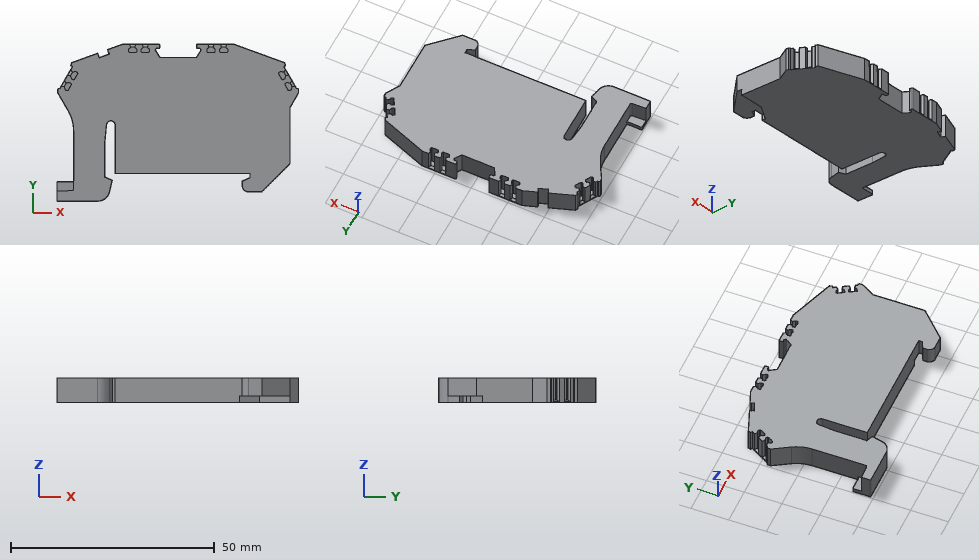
import cadquery as cq
import math


thickness = 6.1
top_y = 38.5
center_x = 29.75
slope_angle = 20.0
flank_angle = 60.0

head_half_width = 29.55
head_side_low_y = 26.6
head_side_high_y = 27.4
low_lip_y = 27.7
low_lip_inset = 0.3
flank_low = (28.68, 28.24)
flank_length = 4.75
high_lip_root = (25.9, 33.0)
high_lip_tip = (26.35, 33.25)
shoulder_low_half = 26.1
shoulder_top_half = 13.7

notch_mouth_half = 4.5
notch_lip_height = 1.0
notch_lip_radius = 0.2
notch_lip_underside_half = 5.3
notch_waist_half = 5.6
notch_waist_depth = 1.4
notch_floor_half = 4.45
notch_depth = 3.25

shoulder_notch_start = 3.8
shoulder_notch_end = 6.4
shoulder_notch_depth = 1.15
shoulder_notch_bump = 0.12
shoulder_notch_bump_depth = 0.4

right_x = 57.2
right_low_y = 9.2
base_y = 6.8
hook_bottom_y = 2.3
hook_bevel_x = 50.25
hook_tip_x = 45.45
hook_tip_y = 4.95
hook_root_x = 47.35
hook_root_y = 5.8
hook_radius = 1.5

recess_depth = 1.6
recess_start_x = 44.75
recess_side_length = 1.0
recess_corner_x = 49.75
recess_wall_angle = 30.0

slot_right_x = 14.3
slot_radius = 1.05
slot_center_y = 18.65
leg_left_x = 4.1
leg_right_x = 11.8
leg_taper_y = 14.5
leg_bend_low_y = 17.2
leg_bend_radius = 10.0
latch_root_y = 5.95
latch_tip = (13.6, 5.15)
latch_lean = 13.0
latch_radius = 3.0

foot_edge_y = 2.45
foot_root_y = 2.65
foot_root_radius = 0.4
foot_corner_radius = 0.2
tab_top_y = 4.8
tab_thickness = 1.1
tab_corner_radius = 0.25

pocket_count = 2
pocket_pitch = 3.1
pocket_first_offset = 8.05
flank_pocket_start = 0.75
pocket_mouth_half = 0.8
pocket_waist_half = 0.5
pocket_body_half = 1.03
pocket_waist_depth = 0.7
pocket_body_depth = 1.3
pocket_depth = 2.0
pocket_corner = 0.2
pocket_floor_z = 0.6
pocket_mouth_floor_z = 0.25


def polar(start, angle, length):
    """Point at a given length from start, in a direction in degrees."""
    turn = math.radians(angle)
    return (start[0] + length * math.cos(turn), start[1] + length * math.sin(turn))


def flank_point(length):
    """Point on the marker flank, measured up from its low end."""
    return polar(flank_low, 180 - flank_angle, length)


def half_head():
    """Outline of one half of the head, from the head side up to the central notch floor."""
    shoulder_run = shoulder_low_half - shoulder_top_half
    shoulder_low_y = top_y - shoulder_run * math.tan(math.radians(slope_angle))
    lip_underside_y = top_y - notch_lip_height
    return [
        (head_half_width, head_side_low_y),
        (head_half_width, head_side_high_y),
        (head_half_width - low_lip_inset, low_lip_y),
        (flank_low[0] + low_lip_inset, low_lip_y),
        flank_low,
        flank_point(flank_length),
        high_lip_root,
        high_lip_tip,
        (shoulder_low_half, shoulder_low_y),
        (shoulder_top_half, top_y),
        (notch_mouth_half, top_y),
        (notch_mouth_half, lip_underside_y),
        (notch_lip_underside_half, lip_underside_y),
        (notch_waist_half, top_y - notch_waist_depth),
        (notch_floor_half, top_y - notch_depth),
    ]


def body():
    """Full-thickness plate: foot, latch, slot, hook, head and spring leg in one outline."""
    lean = math.radians(latch_lean)
    heel_top_y = latch_radius * (1 - math.sin(lean))
    heel_top_x = latch_tip[0] - (latch_tip[1] - heel_top_y) * math.tan(lean)
    heel_center = (heel_top_x - latch_radius * math.cos(lean), latch_radius)
    heel_mid = polar(heel_center, -(90 + latch_lean) / 2, latch_radius)

    slot_center_x = slot_right_x - slot_radius

    bend_center = (leg_left_x - leg_bend_radius, leg_bend_low_y)
    bend_angle = 90 - flank_angle
    bend_mid = polar(bend_center, bend_angle / 2, leg_bend_radius)
    bend_high = polar(bend_center, bend_angle, leg_bend_radius)

    head_overhang = center_x + head_half_width - right_x
    overhang_low_y = head_side_low_y - head_overhang * math.tan(math.radians(flank_angle))

    right_head = [(center_x + half, y) for half, y in half_head()]
    left_head = [(center_x - half, y) for half, y in reversed(half_head())]

    outline = (
        cq.Workplane("XY")
        .moveTo(0, 0)
        .lineTo(heel_center[0], 0)
        .threePointArc(heel_mid, (heel_top_x, heel_top_y))
        .lineTo(*latch_tip)
        .lineTo(leg_right_x, latch_root_y)
        .lineTo(leg_right_x, leg_taper_y)
        .lineTo(slot_center_x - slot_radius, slot_center_y)
        .threePointArc((slot_center_x, slot_center_y + slot_radius), (slot_right_x, slot_center_y))
        .lineTo(slot_right_x, base_y)
        .lineTo(hook_root_x, base_y)
        .lineTo(hook_root_x, hook_root_y)
        .lineTo(hook_tip_x, hook_tip_y)
        .lineTo(hook_tip_x, hook_bottom_y + hook_radius)
        .radiusArc((hook_tip_x + hook_radius, hook_bottom_y), -hook_radius)
        .lineTo(hook_bevel_x, hook_bottom_y)
        .lineTo(right_x, right_low_y)
        .lineTo(right_x, overhang_low_y)
    )
    for point in right_head + left_head:
        outline = outline.lineTo(*point)
    outline = (
        outline.lineTo(*bend_high)
        .threePointArc(bend_mid, (leg_left_x, leg_bend_low_y))
        .lineTo(leg_left_x, foot_root_y)
        .lineTo(0, foot_edge_y)
        .close()
    )
    plate = outline.extrude(thickness)
    plate = round_upright_edge(plate, leg_left_x, foot_root_y, thickness, foot_root_radius)
    for side in (-1, 1):
        lip_x = center_x + side * notch_mouth_half
        for lip_y in (top_y, top_y - notch_lip_height):
            plate = round_upright_edge(plate, lip_x, lip_y, thickness, notch_lip_radius)
    return plate


def round_upright_edge(solid, x, y, height, radius):
    """Fillet the edge that rises from the bottom plane at (x, y) to the given height."""
    nearest = cq.selectors.NearestToPointSelector((x, y, height / 2))
    return solid.edges("|Z").edges(nearest).fillet(radius)


def foot_tab():
    """Thin tab filling the corner between foot and leg at the bottom face."""
    tab = cq.Workplane("XY").box(leg_left_x, tab_top_y, tab_thickness, centered=False)
    return tab.edges("|Z and <X and >Y").fillet(tab_corner_radius)


def marker_pocket(mouth, direction):
    """Keyhole pocket open at the top face and at the edge point mouth, running inward along direction."""
    half_profile = [
        (0, pocket_mouth_half),
        (pocket_waist_depth, pocket_waist_half),
        (pocket_body_depth, pocket_body_half),
        (pocket_depth - pocket_corner, pocket_body_half),
        (pocket_depth, pocket_body_half - pocket_corner),
    ]
    profile = half_profile + [(depth, -half) for depth, half in reversed(half_profile)]
    column = cq.Workplane("XY").polyline(profile).close().extrude(thickness)
    side_view = [
        (0, pocket_mouth_floor_z),
        (pocket_waist_depth, pocket_floor_z),
        (pocket_depth, pocket_floor_z),
        (pocket_depth, thickness),
        (0, thickness),
    ]
    above_floor = cq.Workplane("XZ").polyline(side_view).close().extrude(pocket_body_half, both=True)
    pocket = column.intersect(above_floor)
    return pocket.rotate((0, 0, 0), (0, 0, 1), direction).translate((mouth[0], mouth[1], 0))


def cut_marker_pockets(solid):
    """Pockets along the top edge and both flanks, mirrored about the symmetry line."""
    for index in range(pocket_count):
        step = index * pocket_pitch
        flank_half, flank_y = flank_point(flank_pocket_start + step)
        for side, inward in ((1, 270 - flank_angle), (-1, flank_angle - 90)):
            top_x = center_x + side * (pocket_first_offset + step)
            flank_x = center_x + side * flank_half
            solid = solid.cut(marker_pocket((top_x, top_y), -90))
            solid = solid.cut(marker_pocket((flank_x, flank_y), inward))
    return solid


def shoulder_notch():
    """Notch square to the left shoulder, with a slight bump outward in its upper wall."""
    profile = [
        (-shoulder_notch_start, shoulder_notch_depth),
        (-shoulder_notch_start, 0),
        (-shoulder_notch_start - shoulder_notch_bump, -shoulder_notch_bump_depth),
        (-shoulder_notch_start, -shoulder_notch_depth),
        (-shoulder_notch_end, -shoulder_notch_depth),
        (-shoulder_notch_end, shoulder_notch_depth),
    ]
    notch = cq.Workplane("XY").polyline(profile).close().extrude(thickness)
    notch = notch.rotate((0, 0, 0), (0, 0, 1), slope_angle)
    return notch.translate((center_x - shoulder_top_half, top_y, 0))


def hook_recess():
    """Step in the bottom face that thins the hook and the corner above it."""
    wall_rise = (recess_corner_x - recess_start_x) * math.tan(math.radians(recess_wall_angle))
    side_end_y = base_y + recess_side_length
    profile = [
        (recess_start_x, 0),
        (recess_start_x, side_end_y),
        (recess_corner_x, side_end_y + wall_rise),
        (right_x, side_end_y + wall_rise),
        (right_x, 0),
    ]
    return cq.Workplane("XY").polyline(profile).close().extrude(recess_depth)


result = body().union(foot_tab())
result = round_upright_edge(result, leg_left_x, tab_top_y, tab_thickness, tab_corner_radius)
result = round_upright_edge(result, 0, 0, thickness, foot_corner_radius)
result = cut_marker_pockets(result)
result = result.cut(shoulder_notch())
result = result.cut(hook_recess())